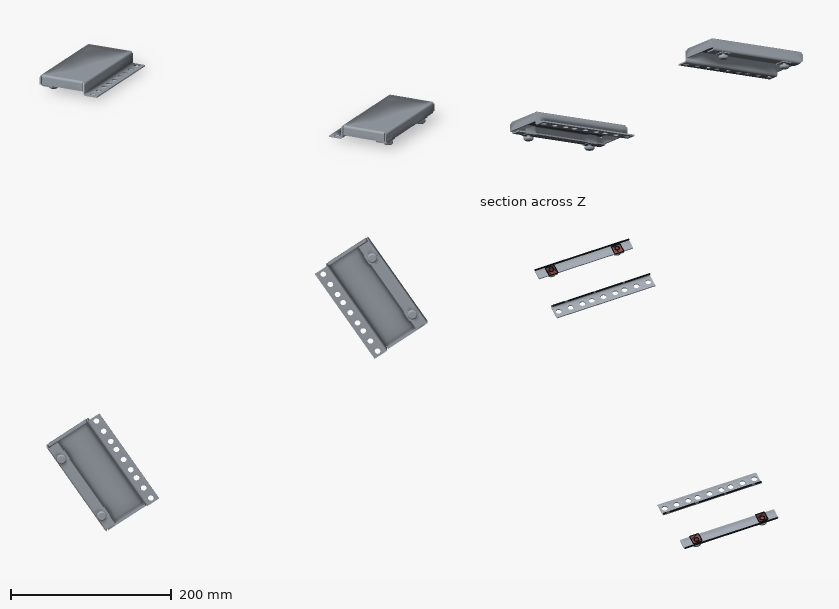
import cadquery as cq

overall_length = 482.5
depth = 132.5
height = 22.5

bracket_width = 79.5
tray_width = 62.5
sheet = 1.7
bend = 3.0
ear_bottom = 5.0
flange_bottom = 7.0
end_gap = 0.25
flange_width = 15.5

hole_diameter = 7.0
hole_pitch = 16.0
group_gap = 12.5
group_count = 3

screw_inset = 8.0
screw_spacing = 89.0
head_diameter = 12.0
head_height = 4.0
head_chamfer = 1.5
shank_diameter = 5.0
clip_width = 12.5
clip_leg = 1.0
base_top = 13.5
collar_top = 18.0
collar_step = 0.2

outer_x = -overall_length / 2
inner_x = outer_x + tray_width
ear_tip_x = outer_x + bracket_width
flange_tip_x = outer_x + flange_width
screw_x = outer_x + screw_inset
screw_ys = (-screw_spacing / 2, screw_spacing / 2)
flange_top = flange_bottom + sheet
bend_inside = bend - sheet
straight_top = height - bend
straight_bottom = flange_bottom + bend
short_depth = depth - 2 * bend


def block(x_min, x_max, y_size, z_min, z_max, y_center=0.0):
    """Box between two X and two Z planes, centred in Y on y_center."""
    return (
        cq.Workplane("XY", origin=(x_min, y_center, z_min))
        .box(x_max - x_min, y_size, z_max - z_min, centered=(False, True, False))
    )


def bend_piece(x_axis, z_axis, x_side, z_side, length):
    """Quarter tube along Y on the given axis, in the quadrant (x_side, z_side)."""
    tube = (
        cq.Workplane("XZ", origin=(x_axis, 0, z_axis))
        .circle(bend)
        .circle(bend_inside)
        .extrude(length / 2, both=True)
    )
    quadrant = block(
        min(x_axis, x_axis + x_side * bend),
        max(x_axis, x_axis + x_side * bend),
        length,
        min(z_axis, z_axis + z_side * bend),
        max(z_axis, z_axis + z_side * bend),
    )
    return tube.intersect(quadrant)


def end_wall():
    """Wall at the -Y end with its bend to the top, clear of both side walls."""
    bend_y = -depth / 2 + bend
    return (
        cq.Workplane("YZ", origin=(outer_x + bend + end_gap, 0, 0))
        .moveTo(-depth / 2, straight_bottom)
        .lineTo(-depth / 2, straight_top)
        .radiusArc((bend_y, height), bend)
        .lineTo(bend_y, height - sheet)
        .radiusArc((-depth / 2 + sheet, straight_top), -bend_inside)
        .lineTo(-depth / 2 + sheet, straight_bottom)
        .close()
        .extrude(tray_width - 2 * (bend + end_gap))
    )


def ear_hole_ys():
    group_pitch = 2 * hole_pitch + group_gap
    return [
        (group - (group_count - 1) / 2) * group_pitch + step * hole_pitch
        for group in range(group_count)
        for step in (-1, 0, 1)
    ]


def make_bracket():
    """Tray with end walls, a screw flange under the outer wall and a drilled ear."""
    top_bend_depth = depth - 2 * sheet
    ear_bend_z = ear_bottom + bend
    pieces = [
        block(outer_x, outer_x + sheet, depth, straight_bottom, straight_top),
        bend_piece(outer_x + bend, straight_top, -1, 1, top_bend_depth),
        bend_piece(outer_x + bend, straight_bottom, -1, -1, short_depth),
        block(outer_x + bend, flange_tip_x, short_depth, flange_bottom, flange_top),
        bend_piece(inner_x - bend, straight_top, 1, 1, top_bend_depth),
        block(inner_x - sheet, inner_x, depth, ear_bend_z, straight_top),
        bend_piece(inner_x - sheet + bend, ear_bend_z, -1, -1, depth),
        block(inner_x - sheet + bend, ear_tip_x, depth, ear_bottom, ear_bottom + sheet),
        end_wall(),
        end_wall().mirror("XZ"),
    ]
    bracket = block(outer_x + bend, inner_x - bend, short_depth, height - sheet, height)
    for piece in pieces:
        bracket = bracket.union(piece)

    hole_x = (inner_x + ear_tip_x) / 2
    ear_holes = (
        cq.Workplane("XY")
        .pushPoints([(hole_x, y) for y in ear_hole_ys()])
        .circle(hole_diameter / 2)
        .extrude(ear_bottom + sheet)
    )
    screw_holes = (
        cq.Workplane("XY")
        .pushPoints([(screw_x, y) for y in screw_ys])
        .circle(shank_diameter / 2)
        .extrude(flange_top)
    )
    return bracket.cut(ear_holes).cut(screw_holes)


def make_clip_nut(y):
    """Clip hooked over the flange tip, with a bored collar above the flange."""
    clip_tip_x = flange_tip_x + clip_leg
    wall_x = outer_x + sheet
    collar_end_x = 2 * screw_x - wall_x
    lower_leg = block(wall_x, clip_tip_x, clip_width, flange_bottom - clip_leg, flange_bottom, y)
    tip = block(flange_tip_x, clip_tip_x, clip_width, flange_bottom, flange_top + clip_leg, y)
    upper_leg = block(outer_x + bend, clip_tip_x, clip_width, flange_top, flange_top + clip_leg, y)
    base = block(wall_x, collar_end_x, clip_width, straight_bottom, base_top, y)
    base_foot = block(outer_x + bend, collar_end_x, clip_width, flange_top, straight_bottom, y)
    collar = block(
        wall_x + collar_step,
        collar_end_x - collar_step,
        clip_width - 2 * collar_step,
        base_top,
        collar_top,
        y,
    )
    nut = lower_leg.union(tip).union(upper_leg).union(base_foot).union(base).union(collar)
    bore = cq.Workplane("XY").center(screw_x, y).circle(shank_diameter / 2).extrude(height)
    return nut.cut(bore)


def make_screw(y):
    """Chamfered head below the flange, with a shank up to the top of the collar."""
    head = (
        cq.Workplane("XY")
        .center(screw_x, y)
        .circle(head_diameter / 2)
        .extrude(head_height)
        .faces("<Z")
        .edges()
        .chamfer(head_chamfer)
    )
    shank = (
        cq.Workplane("XY", origin=(screw_x, y, head_height))
        .circle(shank_diameter / 2)
        .extrude(collar_top - head_height)
    )
    return head.union(shank)


left_bodies = [make_bracket()]
for screw_y in screw_ys:
    left_bodies.append(make_clip_nut(screw_y))
    left_bodies.append(make_screw(screw_y))
right_bodies = [body.mirror("YZ") for body in left_bodies]

result = cq.Compound.makeCompound([body.solids().val() for body in left_bodies + right_bodies])